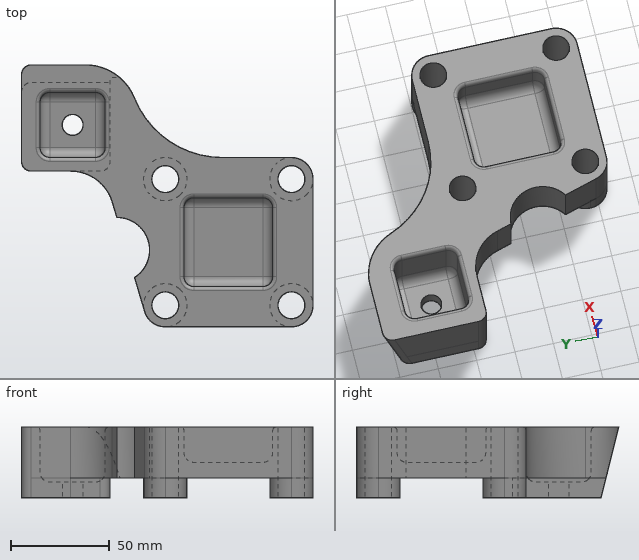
import cadquery as cq
import math

foot_height = 10.0
total_height = 36.0

bolt_spacing = 64.0
boss_radius = 11.0
bolt_hole_diameter = 13.5
bolt_offset = bolt_spacing / 2
flange_half = bolt_offset + boss_radius

total_length = 148.0
total_width = 133.0
arm_left = flange_half - total_length
arm_back = total_width - flange_half
arm_front = 36.0
arm_corner_radius = 5.0
block_length = 45.0
back_face_run = 9.0
arm_hole_diameter = 10.5

clearance_margin = 5.0

shoulder_radius = 27.0
shoulder_x = -72.6
sweep_radius = 48.0
armpit_radius = 22.0
armpit_x = -80.0

notch_radius = 16.5
notch_center = (-56.5, -4.0)

flange_pocket_size = 45.0
flange_pocket_depth = 18.0
arm_pocket_size = 33.0
arm_pocket_depth = 28.0
arm_pocket_center = (-79.0, 59.5)
pocket_radius = 5.0
pocket_rim_radius = 2.0


def polar(center, radius, angle):
    """Point on a circle at the given angle in radians."""
    return (center[0] + radius * math.cos(angle), center[1] + radius * math.sin(angle))


def make_plate():
    """Full outline of arm and flange, from the ground to the top face."""
    shoulder_center = (shoulder_x, arm_back - shoulder_radius)
    sweep_center_y = flange_half + sweep_radius
    s_curve_angle = math.asin((sweep_center_y - shoulder_center[1]) / (shoulder_radius + sweep_radius))
    sweep_x = shoulder_x + (shoulder_radius + sweep_radius) * math.cos(s_curve_angle)
    sweep_center = (sweep_x, sweep_center_y)
    shoulder_mid_angle = (math.pi / 2 + s_curve_angle) / 2
    sweep_mid_angle = (math.pi + s_curve_angle + 3 * math.pi / 2) / 2

    armpit_center = (armpit_x, arm_front - armpit_radius)
    corner_center = (-bolt_offset, -bolt_offset)
    step_x = corner_center[0] - armpit_center[0]
    step_y = corner_center[1] - armpit_center[1]
    center_distance = math.hypot(step_x, step_y)
    tangent_angle = math.atan2(step_y, step_x) + math.acos((armpit_radius + boss_radius) / center_distance)
    armpit_mid_angle = (math.pi / 2 + tangent_angle) / 2
    corner_start_angle = tangent_angle + math.pi
    corner_mid_angle = (corner_start_angle + 3 * math.pi / 2) / 2

    side_point = polar(corner_center, boss_radius, corner_start_angle)
    side_distance = (side_point[0] - notch_center[0]) * math.cos(tangent_angle) + (
        side_point[1] - notch_center[1]
    ) * math.sin(tangent_angle)
    notch_half_angle = math.acos(side_distance / notch_radius)
    notch_start = polar(notch_center, notch_radius, tangent_angle - notch_half_angle)
    notch_end = polar(notch_center, notch_radius, tangent_angle + notch_half_angle)

    outline = (
        cq.Workplane("XY")
        .moveTo(arm_left, arm_front)
        .lineTo(arm_left, arm_back)
        .lineTo(shoulder_x, arm_back)
        .threePointArc(
            polar(shoulder_center, shoulder_radius, shoulder_mid_angle),
            polar(shoulder_center, shoulder_radius, s_curve_angle),
        )
        .threePointArc(
            polar(sweep_center, sweep_radius, sweep_mid_angle),
            (sweep_x, flange_half),
        )
        .lineTo(bolt_offset, flange_half)
        .threePointArc(
            polar((bolt_offset, bolt_offset), boss_radius, math.pi / 4),
            (flange_half, bolt_offset),
        )
        .lineTo(flange_half, -bolt_offset)
        .threePointArc(
            polar((bolt_offset, -bolt_offset), boss_radius, -math.pi / 4),
            (bolt_offset, -flange_half),
        )
        .lineTo(-bolt_offset, -flange_half)
        .threePointArc(
            polar(corner_center, boss_radius, corner_mid_angle),
            polar(corner_center, boss_radius, corner_start_angle),
        )
        .lineTo(*notch_start)
        .threePointArc((notch_center[0] + notch_radius, notch_center[1]), notch_end)
        .lineTo(*polar(armpit_center, armpit_radius, tangent_angle))
        .threePointArc(
            polar(armpit_center, armpit_radius, armpit_mid_angle),
            (armpit_x, arm_front),
        )
        .close()
    )
    return outline.extrude(total_height)


def make_block():
    """Block under the arm, from the ground to the underside of the plate."""
    return (
        cq.Workplane("XY", origin=(arm_left, arm_front, 0))
        .box(block_length, arm_back - arm_front, foot_height, centered=False)
        .edges("|Z and >X and <Y")
        .fillet(arm_corner_radius)
    )


def make_back_wedge():
    """Material removed so that the back of the arm leans in towards the ground."""
    return (
        cq.Workplane("YZ", origin=(arm_left, 0, 0))
        .moveTo(arm_back, total_height)
        .lineTo(arm_back - back_face_run, 0)
        .lineTo(arm_back, 0)
        .close()
        .extrude(flange_half - arm_left)
    )


def bolt_circles(diameter, height):
    """Four cylinders on the square bolt pattern."""
    return (
        cq.Workplane(cq.Plane(origin=(0, 0, 0), xDir=(-1, 0, 0), normal=(0, 0, 1)))
        .rect(bolt_spacing, bolt_spacing, forConstruction=True)
        .vertices()
        .circle(diameter / 2)
        .extrude(height)
    )


def cut_pocket(body, center, size, depth):
    """Sink a square pocket into the top face, with rounded corners, floor and rim."""
    pocket = (
        cq.Workplane("XY", origin=(*center, total_height))
        .rect(size, size)
        .extrude(-depth)
        .edges("|Z")
        .fillet(pocket_radius)
        .faces("<Z")
        .edges()
        .fillet(pocket_radius)
    )
    reach = size / 2 + pocket_rim_radius
    rim_zone = cq.selectors.BoxSelector(
        (center[0] - reach, center[1] - reach, total_height - pocket_rim_radius),
        (center[0] + reach, center[1] + reach, total_height + pocket_rim_radius),
    )
    return body.cut(pocket).faces(">Z").edges(rim_zone).fillet(pocket_rim_radius)


def make_ground_clearance():
    """Space below the plate, leaving only the four feet and the arm block."""
    return (
        cq.Workplane("XY", origin=(arm_left - clearance_margin, -flange_half - clearance_margin, 0))
        .box(
            flange_half - arm_left + 2 * clearance_margin,
            flange_half + arm_back + 2 * clearance_margin,
            foot_height,
            centered=False,
        )
        .cut(bolt_circles(2 * boss_radius, foot_height))
        .cut(make_block())
    )


body = make_plate()
body = body.cut(make_back_wedge())
body = body.faces("<X").edges("not #Z").fillet(arm_corner_radius)

body = body.cut(bolt_circles(bolt_hole_diameter, total_height))
body = cut_pocket(body, (0, 0), flange_pocket_size, flange_pocket_depth)
body = cut_pocket(body, arm_pocket_center, arm_pocket_size, arm_pocket_depth)

arm_hole = (
    cq.Workplane("XY")
    .center(*arm_pocket_center)
    .circle(arm_hole_diameter / 2)
    .extrude(total_height)
)
body = body.cut(arm_hole)

result = body.cut(make_ground_clearance(), clean=False)